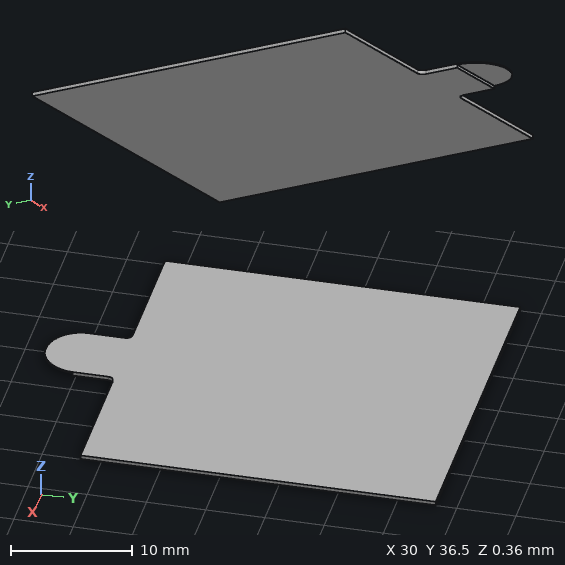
import cadquery as cq

total_length = 36.5
sheet_side = 30.0
sheet_thickness = 0.36
tab_width = 6.0
root_fillet = 0.5
tip_thickness = 0.102

tab_radius = tab_width / 2
sheet_front = total_length - sheet_side - tab_radius
sheet_back = sheet_front + sheet_side
sheet_half = sheet_side / 2
root_x = tab_radius + root_fillet
root_y = sheet_front - root_fillet


def make_plate():
    """Square sheet and straight tab neck, full thickness, with filleted tab roots."""
    return (
        cq.Workplane("XY")
        .moveTo(-tab_radius, 0)
        .lineTo(tab_radius, 0)
        .lineTo(tab_radius, root_y)
        .radiusArc((root_x, sheet_front), root_fillet)
        .lineTo(sheet_half, sheet_front)
        .lineTo(sheet_half, sheet_back)
        .lineTo(-sheet_half, sheet_back)
        .lineTo(-sheet_half, sheet_front)
        .lineTo(-root_x, sheet_front)
        .radiusArc((-tab_radius, root_y), root_fillet)
        .close()
        .extrude(sheet_thickness)
    )


def make_tab_tip():
    """Thin half-round end of the tab, hanging down from the level of the top face."""
    return (
        cq.Workplane("XY", origin=(0, 0, sheet_thickness))
        .moveTo(-tab_radius, 0)
        .threePointArc((0, -tab_radius), (tab_radius, 0))
        .close()
        .extrude(-tip_thickness)
    )


result = make_plate().union(make_tab_tip())